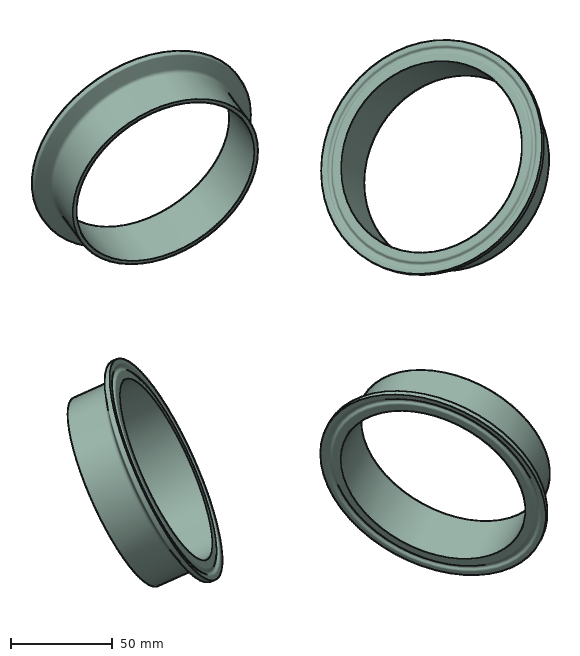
import cadquery as cq
import math

flange_radius = 119 / 2
tube_outer_radius = 101.6 / 2
bore_radius = 97.3 / 2
length = 28.0

rim_thickness = 2.9
taper_angle = math.radians(20)
rim_fillet = 0.7
neck_fillet = 2.0

groove_radius = 55.0
groove_half_width = 2.1
groove_arc_radius = 1.3

taper_end_x = rim_thickness + (flange_radius - tube_outer_radius) * math.tan(taper_angle)


def arc_point(center, radius, angle):
    """Point at an angle from +X on a circle in the half section (axial, radial)."""
    return (center[0] + radius * math.cos(angle), center[1] + radius * math.sin(angle))


def make_body():
    """Revolve the half section, rounding both ends of the taper tangentially."""
    fillet_reach = math.tan((math.pi / 2 - taper_angle) / 2)
    rim_center = (rim_thickness - rim_fillet * fillet_reach, flange_radius - rim_fillet)
    neck_center = (taper_end_x + neck_fillet * fillet_reach, tube_outer_radius + neck_fillet)
    middle_angle = (math.pi / 2 + taper_angle) / 2
    section = (
        cq.Workplane("XY")
        .moveTo(0, bore_radius)
        .lineTo(0, flange_radius)
        .lineTo(rim_center[0], flange_radius)
        .threePointArc(
            arc_point(rim_center, rim_fillet, middle_angle),
            arc_point(rim_center, rim_fillet, taper_angle),
        )
        .lineTo(*arc_point(neck_center, neck_fillet, math.pi + taper_angle))
        .threePointArc(
            arc_point(neck_center, neck_fillet, math.pi + middle_angle),
            (neck_center[0], tube_outer_radius),
        )
        .lineTo(length, tube_outer_radius)
        .lineTo(length, bore_radius)
        .close()
    )
    return section.revolve(360, (0, 0), (1, 0))


def make_groove():
    """Ring removed from the flange face, with tangent arcs across its width."""
    flank_angle = math.asin(groove_half_width / 2 / groove_arc_radius)
    arc_depth = groove_arc_radius * (1 - math.cos(flank_angle))
    floor_center = (2 * arc_depth - groove_arc_radius, groove_radius)
    inner_lip_center = (groove_arc_radius, groove_radius - groove_half_width)
    outer_lip_center = (groove_arc_radius, groove_radius + groove_half_width)
    section = (
        cq.Workplane("XY")
        .moveTo(0, inner_lip_center[1])
        .threePointArc(
            arc_point(inner_lip_center, groove_arc_radius, math.pi - flank_angle / 2),
            (arc_depth, groove_radius - groove_half_width / 2),
        )
        .threePointArc(
            arc_point(floor_center, groove_arc_radius, 0),
            (arc_depth, groove_radius + groove_half_width / 2),
        )
        .threePointArc(
            arc_point(outer_lip_center, groove_arc_radius, math.pi + flank_angle / 2),
            (0, outer_lip_center[1]),
        )
        .close()
    )
    return section.revolve(360, (0, 0), (1, 0))


result = make_body().cut(make_groove())